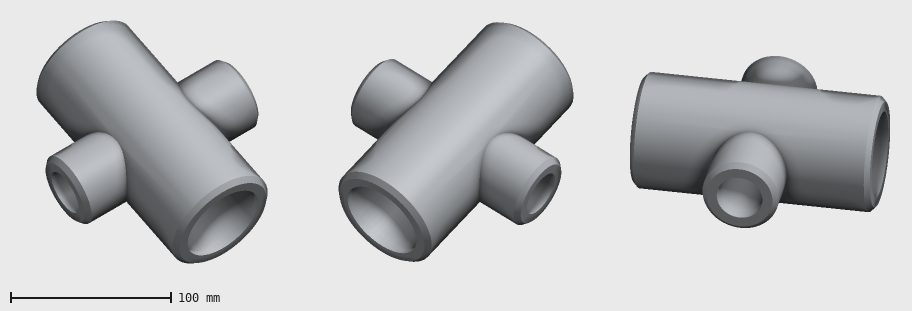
import cadquery as cq

run_length = 152.4
run_diameter = 73.0
run_bore = 54.0

branch_length = 133.0
branch_diameter = 48.3
branch_bore = 29.1

end_chamfer = 3.2


def centred_cylinder(plane, diameter, length):
    """Solid cylinder along the plane normal, centred on the origin."""
    return cq.Workplane(plane).circle(diameter / 2).extrude(length / 2, both=True)


def chamfered_bar(plane, diameter, length):
    """Centred cylinder with both end rims chamfered."""
    return centred_cylinder(plane, diameter, length).edges("%CIRCLE").chamfer(end_chamfer)


run = chamfered_bar("YZ", run_diameter, run_length)
branch = chamfered_bar("XZ", branch_diameter, branch_length)
body = run.union(branch)

run_hole = centred_cylinder("YZ", run_bore, run_length)
branch_hole = centred_cylinder("XZ", branch_bore, branch_length)

result = body.cut(run_hole).cut(branch_hole)